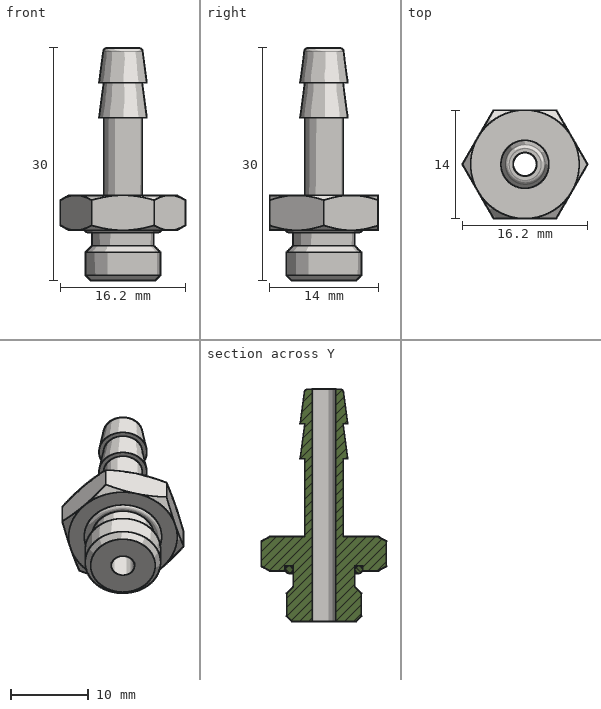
import cadquery as cq
import math

total_height = 30.0
hex_bottom = 6.5
hex_height = 4.5
hex_top = hex_bottom + hex_height
barb_length = 4.5

across_flats = 14.0
across_corners = across_flats / math.cos(math.radians(30))
hex_chamfer_angle = 30.0

thread_radius = 9.73 / 2
thread_chamfer = 0.7
neck_radius = 8.0 / 2
neck_bottom = 4.5
thread_top = neck_bottom - (thread_radius - neck_radius)

stem_radius = 5.0 / 2
barb_radius = 6.2 / 2
barb_count = 2
tip_fillet = 0.5
bore_diameter = 3.0

ring_section_radius = 0.5
ring_protrusion = 0.3
ring_centre_radius = neck_radius + ring_section_radius
ring_centre_z = hex_bottom - ring_protrusion + ring_section_radius
recess_radius = ring_centre_radius + ring_section_radius
recess_depth = 2 * ring_section_radius - ring_protrusion


def make_hexagon():
    """Hexagon with corners on X, its corners coned off at both ends."""
    prism = cq.Workplane("XY").workplane(offset=hex_bottom).polygon(6, across_corners).extrude(hex_height)
    flat_radius = across_flats / 2
    corner_radius = across_corners / 2
    cone_drop = (corner_radius - flat_radius) * math.tan(math.radians(hex_chamfer_angle))
    envelope = (
        cq.Workplane("XZ")
        .moveTo(0, hex_bottom)
        .lineTo(flat_radius, hex_bottom)
        .lineTo(corner_radius, hex_bottom + cone_drop)
        .lineTo(corner_radius, hex_top - cone_drop)
        .lineTo(flat_radius, hex_top)
        .lineTo(0, hex_top)
        .close()
        .revolve(360, (0, 0, 0), (0, 1, 0))
    )
    return prism.intersect(envelope)


def make_recess():
    """Flat-bottomed annular recess around the neck that holds the sealing ring."""
    return (
        cq.Workplane("XY")
        .workplane(offset=hex_bottom)
        .circle(recess_radius)
        .circle(neck_radius)
        .extrude(recess_depth)
    )


def make_spigot():
    """Thread envelope, relief cone and neck, reaching up to the top of the hexagon."""
    return (
        cq.Workplane("XZ")
        .lineTo(thread_radius - thread_chamfer, 0)
        .lineTo(thread_radius, thread_chamfer)
        .lineTo(thread_radius, thread_top)
        .lineTo(neck_radius, neck_bottom)
        .lineTo(neck_radius, hex_top)
        .lineTo(0, hex_top)
        .close()
        .revolve(360, (0, 0, 0), (0, 1, 0))
    )


def make_hose_stem():
    """Plain stem carrying a stack of conical barbs, with a rounded tip."""
    stem_top = total_height - barb_count * barb_length
    profile = cq.Workplane("XZ").moveTo(0, hex_top).lineTo(stem_radius, hex_top).lineTo(stem_radius, stem_top)
    for index in range(barb_count):
        barb_bottom = stem_top + index * barb_length
        profile = profile.lineTo(barb_radius, barb_bottom)
        profile = profile.lineTo(stem_radius, barb_bottom + barb_length)
    stem = profile.lineTo(0, total_height).close().revolve(360, (0, 0, 0), (0, 1, 0))
    return stem.faces(">Z").edges().fillet(tip_fillet)


def make_fitting():
    """One-piece hose fitting with a through bore."""
    bore = cq.Workplane("XY").circle(bore_diameter / 2).extrude(total_height)
    hexagon = make_hexagon().cut(make_recess())
    return hexagon.union(make_spigot()).union(make_hose_stem()).cut(bore)


def make_sealing_ring():
    """Round-section ring fitted around the neck."""
    return (
        cq.Workplane("XZ")
        .center(ring_centre_radius, ring_centre_z)
        .circle(ring_section_radius)
        .revolve(360, (-ring_centre_radius, 0, 0), (-ring_centre_radius, 1, 0))
    )


fitting = make_fitting().solids()
sealing_ring = make_sealing_ring().solids()

result = cq.Compound.makeCompound([fitting.val(), sealing_ring.val()])